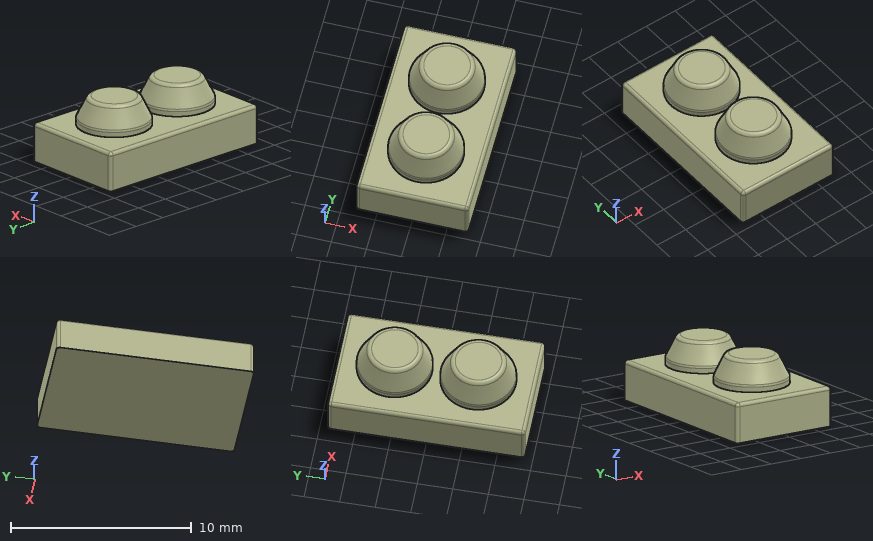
import cadquery as cq

width = 6.4
length = 11.1
base_height = 2.31
base_edge_radius = 0.2

total_height = 4.0
button_diameter = 4.24
button_top_diameter = 2.95
button_collar_height = 0.38
button_edge_radius = 0.3
button_spacing = 4.71


def make_base():
    """Block with rounded vertical and top edges and a sharp bottom edge."""
    block = cq.Workplane("XY").box(width, length, base_height, centered=(True, True, False))
    return block.edges("|Z or >Z").fillet(base_edge_radius)


def make_button(y):
    """Short cylindrical collar that tapers to a flat top, with both rims rounded."""
    outer_radius = button_diameter / 2
    profile = (
        cq.Workplane("XZ")
        .lineTo(outer_radius, 0)
        .lineTo(outer_radius, base_height + button_collar_height)
        .lineTo(button_top_diameter / 2, total_height)
        .lineTo(0, total_height)
        .close()
    )
    button = profile.revolve(360, (0, 0, 0), (0, 1, 0))
    rims = button.edges("%CIRCLE").edges("not <Z")
    return rims.fillet(button_edge_radius).translate((0, y, 0))


result = make_base()
for side in (-1, 1):
    result = result.union(make_button(side * button_spacing / 2))